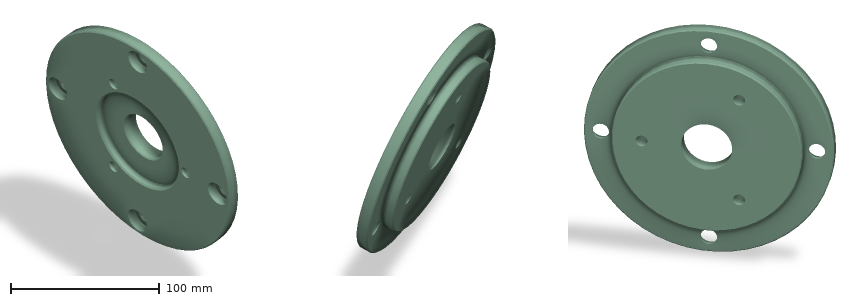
import cadquery as cq
import math

flange_diameter = 171.7
flange_thickness = 8.8
spigot_diameter = 130.5
total_thickness = 16.8
edge_chamfer = 0.9

corner_bevel = 0.5

bore_diameter = 35.0
bore_chamfer = 0.7
recess_diameter = 74.9
recess_depth = 5.5
recess_chamfer = 1.0

mount_count = 4
mount_circle_radius = 74.2
mount_hole_diameter = 11.3
mount_bore_diameter = 17.5
mount_bore_depth = 6.9

pin_count = 3
pin_circle_radius = 44.7
pin_hole_diameter = 8.2


def cylinder(diameter, start, length, x=0.0, z=0.0):
    """Solid cylinder along +Y, starting at Y = start."""
    axis = cq.Vector(0, 1, 0)
    return cq.Workplane(cq.Solid.makeCylinder(diameter / 2, length, cq.Vector(x, start, z), axis))


def circle_points(count, radius):
    """Evenly spaced (x, z) places, the first on +X."""
    angles = [2 * math.pi * i / count for i in range(count)]
    return [(radius * math.cos(a), radius * math.sin(a)) for a in angles]


def bevel_cone(diameter, start, size):
    """Cone along +Y, narrowing by size from Y = start to the given diameter."""
    radius = diameter / 2
    cone = cq.Solid.makeCone(radius + size, radius, size, cq.Vector(0, start, 0), cq.Vector(0, 1, 0))
    return cq.Workplane(cone)


def make_body():
    flange = cylinder(flange_diameter, 0, flange_thickness).edges().chamfer(edge_chamfer)
    spigot = cylinder(spigot_diameter, flange_thickness, total_thickness - flange_thickness)
    spigot = spigot.faces(">Y").edges().chamfer(edge_chamfer)
    root = bevel_cone(spigot_diameter, flange_thickness, corner_bevel)
    return flange.union(spigot).union(root)


def make_centre_cut():
    recess = cylinder(recess_diameter, 0, recess_depth)
    recess = recess.faces(">Y").edges().chamfer(corner_bevel)
    bore = cylinder(bore_diameter, 0, total_thickness)
    return recess.union(bore)


result = make_body().cut(make_centre_cut())
result = result.cut(bevel_cone(recess_diameter, 0, recess_chamfer))
result = result.cut(bevel_cone(bore_diameter, recess_depth, bore_chamfer))

for x, z in circle_points(mount_count, mount_circle_radius):
    result = result.cut(cylinder(mount_hole_diameter, 0, total_thickness, x, z))
    result = result.cut(cylinder(mount_bore_diameter, 0, mount_bore_depth, x, z))

for x, z in circle_points(pin_count, pin_circle_radius):
    result = result.cut(cylinder(pin_hole_diameter, 0, total_thickness, x, z))